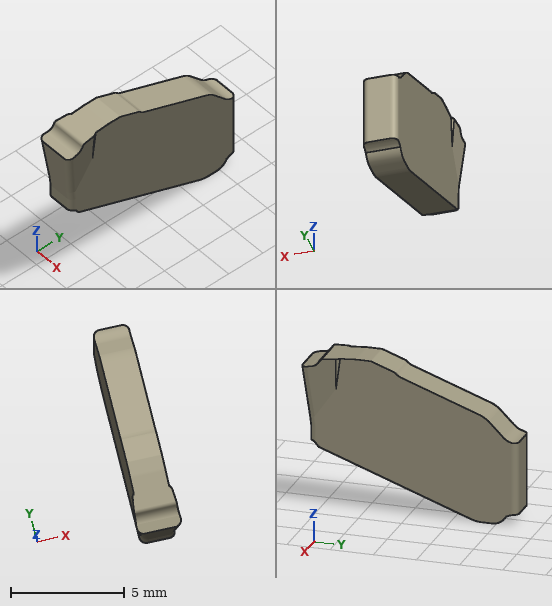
import cadquery as cq
import math

LENGTH = 10.0
HEIGHT = 7.0
BODY_WIDTH = 1.6
CORNER_RADIUS = 0.3
FLANK_ANGLE = 20.0
SHOULDER_ANGLE = 45.0

TIP_Z = 6.42
FRONT_LAND_Y = 0.35
FRONT_LAND_BOTTOM = 2.92
FRONT_LAND_TOP = 3.58
BOTTOM_FRONT = (0.78, 2.66)
BOTTOM_NOTCH_START = (0.68, 2.78)
BOTTOM_NOTCH_MIDDLE = (0.61, 2.87)
BOTTOM_NOTCH_END_Y = 0.5

RAKE_END = (0.45, 6.5)
GROOVE_MIDDLE = (0.7, 6.58)
GROOVE_END = (0.86, 6.77)
LIP_MIDDLE = (0.92, 6.85)
LIP_END = (1.02, 6.89)
CREST_FRONT_Y = 2.52
CREST_FRONT_SETBACK = 0.05
CREST_REAR_Y = 3.21
CREST_REAR_SETBACK = 0.03
STEP_TOP_Y = 4.26
STEP_INFLECTION = (4.35, 6.57)
STEP_MIDDLE = (4.45, 6.48)
STEP_BOTTOM = (4.56, 6.41)

SHOULDER_START_Y = 8.25
SHOULDER_FACET_START = (8.43, 4.98)
SHOULDER_FACET_END = (8.48, 4.95)
SHOULDER_END_Y = 8.67
BACK_TOP = 3.9
BACK_BOTTOM = 0.51
BACK_BLEND_RADIUS = 0.8
BACK_BLEND_END_Y = 9.91
HEEL_BLEND_START_Y = 9.8
HEEL_BLEND_MIDDLE = (9.63, 0.47)
HEEL_BLEND_END = (9.44, 0.36)
HEEL_MIDDLE = (9.17, 0.09)
HEEL_END_Y = 8.82
BOTTOM_FLAT_END_Y = 8.3
BOTTOM_BLEND_MIDDLE = (8.1, 0.02)

FLARE_LOWER = (0.65, 4.15)
FLARE_UPPER = (1.59, 5.5)
FLARE_ANGLE = 7.1
FLARE_REAR_TOP = (1.78, 6.93)
FLARE_CREST_Y = 1.61
FLARE_CREST_OVERHANG = 0.1
FLARE_LIMIT = 0.4
CUTTER_SIZE = 30.0
SELECTION_MARGIN = 0.01


def side_outline():
    """Closed side outline, drawn in Y and Z on the middle plane."""
    flank = math.radians(FLANK_ANGLE)
    flank_slope = math.tan(flank)
    shoulder = math.radians(SHOULDER_ANGLE)
    half_shoulder = shoulder / 2

    front_slope = (HEIGHT - LIP_END[1]) / (CREST_FRONT_Y - LIP_END[0])
    crest_blend_start = (
        CREST_FRONT_Y - CREST_FRONT_SETBACK,
        HEIGHT - CREST_FRONT_SETBACK * front_slope,
    )
    crest_rear_end = (
        CREST_REAR_Y + CREST_REAR_SETBACK * math.cos(flank),
        HEIGHT - CREST_REAR_SETBACK * math.sin(flank),
    )
    step_top = (STEP_TOP_Y, HEIGHT - (STEP_TOP_Y - CREST_REAR_Y) * flank_slope)
    shoulder_start = (
        SHOULDER_START_Y,
        STEP_BOTTOM[1] - (SHOULDER_START_Y - STEP_BOTTOM[0]) * flank_slope,
    )

    def back_blend(angle):
        """Point on the concave blend, at an angle from its level end."""
        return (
            BACK_BLEND_END_Y - BACK_BLEND_RADIUS * math.sin(angle),
            BACK_TOP + BACK_BLEND_RADIUS * (1 - math.cos(angle)),
        )

    blend_start = back_blend(shoulder)
    shoulder_end = (
        SHOULDER_END_Y,
        blend_start[1] + (blend_start[0] - SHOULDER_END_Y) * math.tan(shoulder),
    )
    bottom_start_y = BOTTOM_FRONT[0] + BOTTOM_FRONT[1] / flank_slope
    bottom_blend_end = (
        2 * bottom_start_y - BOTTOM_FLAT_END_Y,
        (BOTTOM_FLAT_END_Y - bottom_start_y) * flank_slope,
    )

    return (
        cq.Workplane("YZ")
        .moveTo(0, TIP_Z)
        .lineTo(*RAKE_END)
        .threePointArc(GROOVE_MIDDLE, GROOVE_END)
        .threePointArc(LIP_MIDDLE, LIP_END)
        .lineTo(*crest_blend_start)
        .tangentArcPoint((CREST_FRONT_Y + CREST_FRONT_SETBACK, HEIGHT), relative=False)
        .lineTo(CREST_REAR_Y - CREST_REAR_SETBACK, HEIGHT)
        .tangentArcPoint(crest_rear_end, relative=False)
        .lineTo(*step_top)
        .tangentArcPoint(STEP_INFLECTION, relative=False)
        .threePointArc(STEP_MIDDLE, STEP_BOTTOM)
        .lineTo(*shoulder_start)
        .tangentArcPoint(SHOULDER_FACET_START, relative=False)
        .lineTo(*SHOULDER_FACET_END)
        .tangentArcPoint(shoulder_end, relative=False)
        .lineTo(*blend_start)
        .threePointArc(back_blend(half_shoulder), (BACK_BLEND_END_Y, BACK_TOP))
        .lineTo(LENGTH, BACK_TOP)
        .lineTo(LENGTH, BACK_BOTTOM)
        .lineTo(HEEL_BLEND_START_Y, BACK_BOTTOM)
        .threePointArc(HEEL_BLEND_MIDDLE, HEEL_BLEND_END)
        .threePointArc(HEEL_MIDDLE, (HEEL_END_Y, 0))
        .lineTo(BOTTOM_FLAT_END_Y, 0)
        .threePointArc(BOTTOM_BLEND_MIDDLE, bottom_blend_end)
        .lineTo(*BOTTOM_FRONT)
        .lineTo(*BOTTOM_NOTCH_START)
        .threePointArc(BOTTOM_NOTCH_MIDDLE, (BOTTOM_NOTCH_END_Y, FRONT_LAND_BOTTOM))
        .lineTo(FRONT_LAND_Y, FRONT_LAND_BOTTOM)
        .lineTo(FRONT_LAND_Y, FRONT_LAND_TOP)
        .close()
    )


def half_space(origin, normal):
    """Large block filling the side of a plane that its normal points to."""
    plane = cq.Plane(origin=origin, normal=normal)
    return cq.Workplane(plane).rect(CUTTER_SIZE, CUTTER_SIZE).extrude(CUTTER_SIZE)


def flare():
    """Wedge that widens the head on the +X side."""
    half_width = BODY_WIDTH / 2
    along_y = FLARE_UPPER[0] - FLARE_LOWER[0]
    along_z = FLARE_UPPER[1] - FLARE_LOWER[1]
    line_length = math.hypot(along_y, along_z)
    flare_slope = math.tan(math.radians(FLARE_ANGLE))
    side_normal = (
        1,
        flare_slope * along_z / line_length,
        -flare_slope * along_y / line_length,
    )

    rear_bottom = cq.Vector(half_width, *FLARE_UPPER)
    rear_top = cq.Vector(half_width, *FLARE_REAR_TOP)
    crest = cq.Vector(half_width + FLARE_CREST_OVERHANG, FLARE_CREST_Y, FLARE_REAR_TOP[1])
    rear_normal = (rear_top - rear_bottom).cross(crest - rear_bottom)
    if rear_normal.y < 0:
        rear_normal = -rear_normal

    blank = side_outline().extrude(half_width + FLARE_LIMIT)
    outside_side = half_space((half_width, *FLARE_LOWER), side_normal)
    behind_rear = half_space(rear_bottom.toTuple(), rear_normal.toTuple())
    return blank.cut(outside_side).cut(behind_rear)


body = side_outline().extrude(BODY_WIDTH / 2, both=True)
right_flare = flare()
left_flare = right_flare.mirror("YZ")
body = body.union(right_flare).union(left_flare)

body = body.faces(">Y").edges("|Z").fillet(CORNER_RADIUS)
front_corner_box = cq.selectors.BoxSelector(
    (-BODY_WIDTH, -SELECTION_MARGIN, FRONT_LAND_BOTTOM),
    (BODY_WIDTH, FRONT_LAND_Y + SELECTION_MARGIN, TIP_Z - SELECTION_MARGIN),
)
front_corners = body.edges(front_corner_box).edges("not(|X)")
result = front_corners.fillet(CORNER_RADIUS)